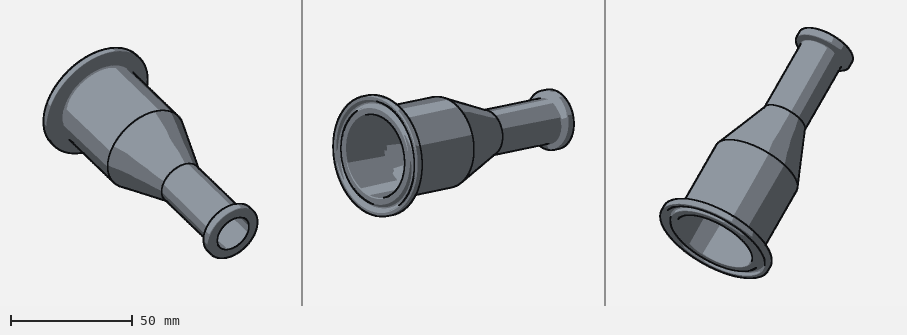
import cadquery as cq
import math


total_length = 101.6
cone_length = total_length / 4
cone_start = (total_length - cone_length) / 2
cone_end = cone_start + cone_length

large_outer_radius = 38.1 / 2
large_bore_radius = 34.7 / 2
small_outer_radius = 19.1 / 2
small_bore_radius = 15.7 / 2

flange_back_angle = math.radians(20)
large_flange_radius = 50.4 / 2
large_rim_width = 2.8
small_flange_radius = 25.0 / 2
small_rim_width = 3.7

bore_taper_start = 22.3
bore_taper_end = 59.9

groove_centre_radius = 43.7 / 2
groove_bottom_radius = 1.2
groove_depth = 1.6
groove_wall_angle = math.radians(20)

large_rim_fillet = 0.4
large_neck_fillet = 1.3
large_bore_fillet = 0.4
groove_lip_fillet = 0.5
bore_taper_fillet = 6.3
small_rim_fillet = 0.6
small_neck_fillet = 0.4

back_slope = math.tan(flange_back_angle)
large_neck_x = large_rim_width + (large_flange_radius - large_outer_radius) * back_slope
small_rim_x = total_length - small_rim_width
small_neck_x = small_rim_x - (small_flange_radius - small_outer_radius) * back_slope

groove_wall_depth = groove_depth - groove_bottom_radius * (1 - math.sin(groove_wall_angle))
groove_half_width = (
    groove_bottom_radius * math.cos(groove_wall_angle) + groove_wall_depth * math.tan(groove_wall_angle)
)


def revolve_about_x(points):
    """Solid of revolution from (x, radius) points, closed along the X axis."""
    profile = cq.Workplane("XY").polyline(points).close()
    return profile.revolve(360, (0, 0, 0), (1, 0, 0))


def make_outer_body():
    return revolve_about_x([
        (0, 0),
        (0, large_flange_radius),
        (large_rim_width, large_flange_radius),
        (large_neck_x, large_outer_radius),
        (cone_start, large_outer_radius),
        (cone_end, small_outer_radius),
        (small_neck_x, small_outer_radius),
        (small_rim_x, small_flange_radius),
        (total_length, small_flange_radius),
        (total_length, 0),
    ])


def make_bore():
    return revolve_about_x([
        (0, 0),
        (0, large_bore_radius),
        (bore_taper_start, large_bore_radius),
        (bore_taper_end, small_bore_radius),
        (total_length, small_bore_radius),
        (total_length, 0),
    ])


def make_groove_ring():
    """Ring with the groove section, flush with the large ferrule face."""
    wall_top = groove_centre_radius + groove_half_width
    wall_foot = groove_centre_radius + groove_bottom_radius * math.cos(groove_wall_angle)
    section = (
        cq.Workplane("XY")
        .moveTo(0, wall_top)
        .lineTo(groove_wall_depth, wall_foot)
        .threePointArc(
            (groove_depth, groove_centre_radius),
            (groove_wall_depth, 2 * groove_centre_radius - wall_foot),
        )
        .lineTo(0, 2 * groove_centre_radius - wall_top)
        .close()
    )
    return section.revolve(360, (0, 0, 0), (1, 0, 0))


def round_edge(body, x, radius, fillet):
    """Fillet the circular edge of the given radius that lies at the given X."""
    tolerance = 0.001

    def is_wanted(edge):
        if edge.geomType() != "CIRCLE":
            return False
        at_x = abs(edge.Center().x - x) < tolerance
        return at_x and abs(edge.radius() - radius) < tolerance

    return body.newObject(body.edges().filter(is_wanted).vals()).fillet(fillet)


body = make_outer_body().cut(make_bore()).cut(make_groove_ring())

body = round_edge(body, 0, large_flange_radius, large_rim_fillet)
body = round_edge(body, large_rim_width, large_flange_radius, large_rim_fillet)
body = round_edge(body, large_neck_x, large_outer_radius, large_neck_fillet)
body = round_edge(body, 0, large_bore_radius, large_bore_fillet)

for side in (-1, 1):
    lip_radius = groove_centre_radius + side * groove_half_width
    body = round_edge(body, 0, lip_radius, groove_lip_fillet)

body = round_edge(body, bore_taper_start, large_bore_radius, bore_taper_fillet)
body = round_edge(body, bore_taper_end, small_bore_radius, bore_taper_fillet)

body = round_edge(body, small_rim_x, small_flange_radius, small_rim_fillet)
body = round_edge(body, total_length, small_flange_radius, small_rim_fillet)
body = round_edge(body, small_neck_x, small_outer_radius, small_neck_fillet)

result = body.translate((-total_length / 2, 0, 0))